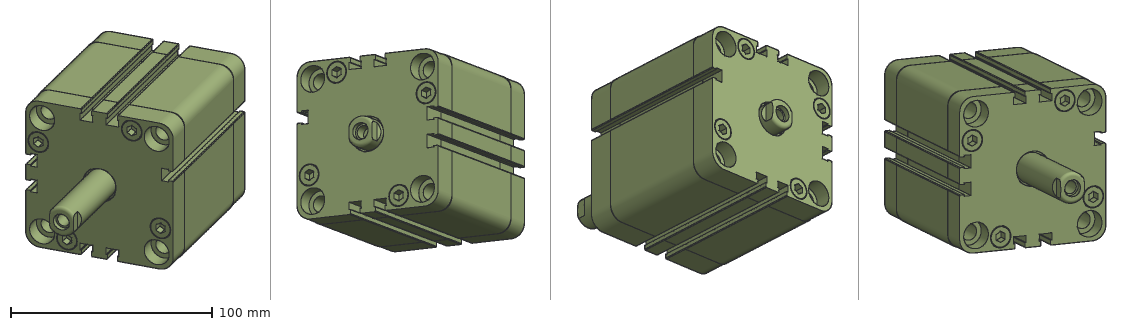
import cadquery as cq
import math

total_length = 145.0
front_reach = 47.5
body_length = 89.9
cap_length = 14.2

body_side = 80.0
cap_side = 79.9
cap_corner_radius = 7.5
barrel_corner_radius = 7.1

slot_pitch = 14.0
slot_mouth_width = 5.4
slot_floor_width = 6.8
slot_depth = 6.2
slot_lip_depth = 2.6
slot_mouth_chamfer = 0.5
side_slot_height = 12.0

mount_spacing = 62.0
mount_hole_diameter = 8.4
mount_bore_diameter = 13.5
mount_bore_depth = 8.5

screw_far_offset = 33.0
screw_near_offset = 17.5
screw_bore_diameter = 11.2
screw_head_diameter = 10.5
screw_head_height = 4.0
socket_across_flats = 5.0
socket_depth = 5.1

rod_diameter = 16.0
rod_end_radius = 1.7
flat_across = 12.9
flat_length = 5.2
rod_clearance_diameter = 18.0
rod_clearance_depth = 2.0

thread_mouth_diameter = 8.5
thread_mouth_depth = 2.9
thread_diameter = 6.7
thread_depth = 17.4
drill_tip_angle = 118.0

rod_front = -front_reach
rod_rear = total_length - front_reach


def plane_at(y):
    """Workplane across the rod axis at the given Y, with local x along X and local y along Z."""
    return cq.Workplane("XZ", origin=(0, y, 0))


def cylinder(start, end, diameter, centers=((0, 0),)):
    return plane_at(start).pushPoints(centers).circle(diameter / 2).extrude(start - end)


def with_rear_copy(shape, front, rear):
    """The shape together with its mirror image about the plane halfway from front to rear."""
    return shape.union(shape.mirror("XZ").translate((0, front + rear, 0)))


def t_slot(start, end, side, offset, turn):
    """T-slot in the top of a block of the given side at X = offset, turned about Y by `turn` degrees."""
    top = side / 2
    floor = top - slot_depth
    lip = top - slot_lip_depth
    half_floor = slot_floor_width / 2
    half_mouth = slot_mouth_width / 2
    half_flare = half_mouth + slot_mouth_chamfer
    right_half = [
        (half_floor, floor),
        (half_floor, lip),
        (half_mouth, lip),
        (half_mouth, top - slot_mouth_chamfer),
        (half_flare, top),
    ]
    left_half = [(-x, z) for x, z in reversed(right_half)]
    slot = plane_at(start).center(offset, 0).polyline(right_half + left_half).close()
    return slot.extrude(start - end).rotate((0, 0, 0), (0, 1, 0), turn)


def body_section(start, end, side, corner_radius):
    """Length of square body with pairs of slots in three sides and one slot in the +X side."""
    section = plane_at(start).rect(side, side).extrude(start - end)
    section = section.edges("|Y").fillet(corner_radius)
    for turn in (0, -90, 180):
        for offset in (-slot_pitch / 2, slot_pitch / 2):
            section = section.cut(t_slot(start, end, side, offset, turn))
    return section.cut(t_slot(start, end, side, -side_slot_height, 90))


def make_block():
    """Barrel between two caps."""
    rear_start = body_length - cap_length
    barrel = body_section(cap_length, rear_start, body_side, barrel_corner_radius)
    front_cap = body_section(0, cap_length, cap_side, cap_corner_radius)
    rear_cap = body_section(rear_start, body_length, cap_side, cap_corner_radius)
    return barrel.union(front_cap).union(rear_cap)


def mounting_holes():
    half = mount_spacing / 2
    centers = [(-half, -half), (-half, half), (half, -half), (half, half)]
    counterbores = cylinder(0, mount_bore_depth, mount_bore_diameter, centers)
    return with_rear_copy(counterbores, 0, body_length).union(
        cylinder(0, body_length, mount_hole_diameter, centers)
    )


def screw_recesses():
    """Ring gap around each screw head, and its hexagon socket with a corner pointing up."""
    far, near = screw_far_offset, screw_near_offset
    centers = [(near, far), (-far, near), (-near, -far), (far, -near)]
    gaps = cylinder(0, screw_head_height, screw_bore_diameter, centers).cut(
        cylinder(0, screw_head_height, screw_head_diameter, centers)
    )
    socket_diameter = socket_across_flats / math.cos(math.pi / 6)
    hexagon = cq.Sketch().regularPolygon(socket_diameter / 2, 6)
    sockets = plane_at(0).pushPoints(centers).placeSketch(hexagon).extrude(-socket_depth)
    return with_rear_copy(gaps.union(sockets), 0, body_length)


def rod_clearances():
    recess = cylinder(0, rod_clearance_depth, rod_clearance_diameter)
    return with_rear_copy(recess, 0, body_length)


def wrench_flats():
    """Material cut from both sides of the rod's front end, ending in 45 degree ramps."""
    flat = flat_across / 2
    ramp = rod_diameter - flat
    flat_end = rod_front + flat_length
    side = (
        cq.Workplane("XY")
        .moveTo(flat, rod_front)
        .lineTo(flat, flat_end)
        .lineTo(flat + ramp, flat_end + ramp)
        .lineTo(flat + ramp, rod_front)
        .close()
        .extrude(rod_diameter, both=True)
    )
    return side.union(side.mirror("YZ"))


def threaded_bore():
    """Stepped bore in the rod's front end with a conical drill tip."""
    mouth_radius = thread_mouth_diameter / 2
    radius = thread_diameter / 2
    tip_length = radius / math.tan(math.radians(drill_tip_angle / 2))
    step = rod_front + thread_mouth_depth
    bottom = rod_front + thread_depth
    return (
        cq.Workplane("XY")
        .moveTo(0, rod_front)
        .lineTo(mouth_radius, rod_front)
        .lineTo(mouth_radius, step)
        .lineTo(radius, step)
        .lineTo(radius, bottom)
        .lineTo(0, bottom + tip_length)
        .close()
        .revolve(360, (0, 0, 0), (0, 1, 0))
    )


def make_rod():
    rod = cylinder(rod_front, rod_rear, rod_diameter)
    rod = rod.faces("<Y or >Y").edges().fillet(rod_end_radius)
    end_cuts = wrench_flats().union(threaded_bore())
    return rod.cut(with_rear_copy(end_cuts, rod_front, rod_rear))


body = make_block().cut(mounting_holes()).cut(screw_recesses()).cut(rod_clearances())
result = body.union(make_rod())